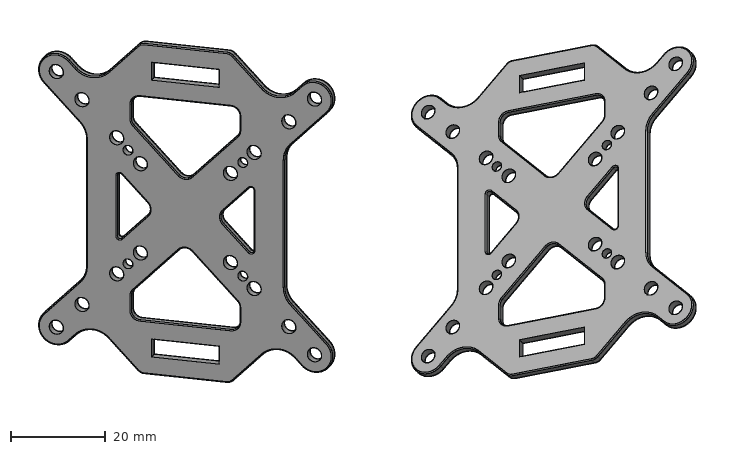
import cadquery as cq
import math

height = 74.0
width = 65.3
thickness = 2.0
rim_chamfer = 0.25

waist_half_width = 22.0
top_edge_half_length = 10.0
top_corner_radius = 2.0
arm_end_radius = 4.0
arm_throat_radius = 5.0
arm_waist_radius = 5.0

strut_half_width = 4.95
large_window_outer_z = 25.0
large_window_half_width = 12.05
small_window_outer_x = 15.2
window_radius = 2.0
small_window_tip_radius = 0.6

slot_length = 15.0
slot_height = 4.0
slot_center_z = 31.0

arm_end_offset = width / 2 - arm_end_radius
screw_hole_diameter = 3.1
screw_hole_offsets = (arm_end_offset, 22.95, 15.25, 10.0)
pilot_hole_diameter = 2.15
pilot_hole_offset = 12.7


def four_mirrors(x, z):
    """Reflections of a point into the four quadrants."""
    return [(x, z), (-x, z), (-x, -z), (x, -z)]


def diagonal_gap(half_width):
    """Difference between |X| and |Z| along the side of a 45 degree strip."""
    return half_width * math.sqrt(2)


def prism(points):
    """Solid of plate thickness with the given XZ outline."""
    return cq.Workplane("XZ").polyline(points).close().extrude(thickness / 2, both=True)


def round_corners(solid, corners, radius):
    """Fillet the through-thickness edges at the given XZ points."""
    reach = 0.1
    picked = []
    for x, z in corners:
        near = cq.selectors.BoxSelector((x - reach, -reach, z - reach), (x + reach, reach, z + reach))
        picked += solid.edges(near).vals()
    return solid.newObject(picked).fillet(radius)


def make_blank():
    """Octagonal body with four round-ended diagonal arms."""
    half_height = height / 2
    gap = diagonal_gap(arm_end_radius)
    slope_sum = half_height + top_edge_half_length
    throat = ((slope_sum - gap) / 2, (slope_sum + gap) / 2)
    waist = (waist_half_width, waist_half_width - gap)
    side_shift = arm_end_radius / math.sqrt(2)
    near_side = arm_end_offset - side_shift
    far_side = arm_end_offset + side_shift

    quadrant = [
        (top_edge_half_length, half_height),
        throat,
        (near_side, far_side),
        (far_side, near_side),
        waist,
    ]
    right = quadrant + [(x, -z) for x, z in reversed(quadrant)]
    left = [(-x, z) for x, z in reversed(right)]
    blank = prism(right + left)
    arm_ends = (
        cq.Workplane("XZ")
        .pushPoints(four_mirrors(arm_end_offset, arm_end_offset))
        .circle(arm_end_radius)
        .extrude(thickness / 2, both=True)
    )
    blank = round_corners(blank, four_mirrors(top_edge_half_length, half_height), top_corner_radius)
    blank = round_corners(blank, four_mirrors(*throat), arm_throat_radius)
    blank = round_corners(blank, four_mirrors(*waist), arm_waist_radius)
    return blank.union(arm_ends)


def make_large_window(side):
    """Five-sided window above (side = 1) or below (side = -1) the strut crossing."""
    gap = diagonal_gap(strut_half_width)
    shoulder_z = large_window_half_width + gap
    points = [
        (0, side * gap),
        (large_window_half_width, side * shoulder_z),
        (large_window_half_width, side * large_window_outer_z),
        (-large_window_half_width, side * large_window_outer_z),
        (-large_window_half_width, side * shoulder_z),
    ]
    return prism(points).edges("|Y").fillet(window_radius)


def make_small_window(side):
    """Triangular window to the +X (side = 1) or -X (side = -1) of the strut crossing."""
    gap = diagonal_gap(strut_half_width)
    crossing_corner = (side * gap, 0)
    tip_z = small_window_outer_x - gap
    tips = [
        (side * small_window_outer_x, tip_z),
        (side * small_window_outer_x, -tip_z),
    ]
    window = prism([crossing_corner] + tips)
    window = round_corners(window, [crossing_corner], window_radius)
    return round_corners(window, tips, small_window_tip_radius)


def cut_slots_and_holes(plate):
    """Cut the square-edged strap slots and the rows of diagonal holes."""
    slots = (
        cq.Workplane("XZ")
        .pushPoints([(0, slot_center_z), (0, -slot_center_z)])
        .rect(slot_length, slot_height)
        .extrude(thickness / 2, both=True)
    )
    plate = plate.cut(slots)
    holes = [(offset, screw_hole_diameter) for offset in screw_hole_offsets]
    holes.append((pilot_hole_offset, pilot_hole_diameter))
    for offset, diameter in holes:
        drills = (
            cq.Workplane("XZ")
            .pushPoints(four_mirrors(offset, offset))
            .circle(diameter / 2)
            .extrude(thickness / 2, both=True)
        )
        plate = plate.cut(drills)
    return plate


plate = make_blank()
for side in (1, -1):
    plate = plate.cut(make_large_window(side)).cut(make_small_window(side))

plate = plate.faces("<Y or >Y").edges().chamfer(rim_chamfer)
result = cut_slots_and_holes(plate)